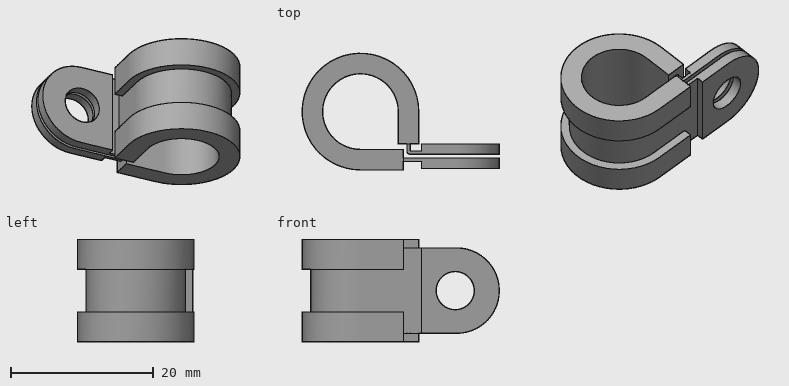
import cadquery as cq
import math

OVERALL_LENGTH = 27.7

CUSHION_RADIUS = 8.2
BORE_RADIUS = 5.3
CUSHION_WIDTH = 14.4
LOWER_LEG = 6.0
UPPER_LEG = 4.52

STRAP_RADIUS = 7.0
STRAP_THICKNESS = 0.5
STRAP_WIDTH = 12.02
BEND_RADIUS = 0.47
GROOVE_WIDTH = 5.98

TAB_START = 8.53
TAB_THICKNESS = 1.5
TAB_GAP = 0.5
TAB_RADIUS = STRAP_WIDTH / 2
TAB_END = OVERALL_LENGTH - CUSHION_RADIUS
TAB_ARC_CENTER = TAB_END - TAB_RADIUS
HOLE_CENTER = 13.3
HOLE_RADIUS = 2.65

STRAP_INNER = STRAP_RADIUS - STRAP_THICKNESS
LOWER_TAB_TOP = -STRAP_INNER
UPPER_TAB_BOTTOM = LOWER_TAB_TOP + TAB_GAP


def split_ring(inner, outer, width):
    """Three-quarter ring with a straight leg at each end, centred on Z = 0."""
    diagonal = math.sqrt(0.5)
    return (
        cq.Workplane("XY", origin=(0, 0, -width / 2))
        .moveTo(LOWER_LEG, -outer)
        .lineTo(0, -outer)
        .threePointArc((-outer * diagonal, outer * diagonal), (outer, 0))
        .lineTo(outer, -UPPER_LEG)
        .lineTo(inner, -UPPER_LEG)
        .lineTo(inner, 0)
        .threePointArc((-inner * diagonal, inner * diagonal), (0, -inner))
        .lineTo(LOWER_LEG, -inner)
        .close()
        .extrude(width)
    )


def block(x_min, x_max, y_min, y_max):
    """Block of the strap width, centred on Z = 0."""
    return (
        cq.Workplane("XY")
        .box(x_max - x_min, y_max - y_min, STRAP_WIDTH, centered=(False, False, True))
        .translate((x_min, y_min, 0))
    )


def tab(y_min):
    """Round-ended ear with a bolt hole along Y."""
    ear = block(TAB_START, TAB_ARC_CENTER, y_min, y_min + TAB_THICKNESS)
    plane = cq.Workplane("XZ", origin=(0, y_min, 0))
    end = plane.center(TAB_ARC_CENTER, 0).circle(TAB_RADIUS).extrude(-TAB_THICKNESS)
    end = end.intersect(block(TAB_ARC_CENTER, TAB_END, y_min, y_min + TAB_THICKNESS))
    plane = cq.Workplane("XZ", origin=(0, y_min, 0))
    hole = plane.center(HOLE_CENTER, 0).circle(HOLE_RADIUS).extrude(-TAB_THICKNESS)
    return ear.union(end).cut(hole)


def upper_strap():
    """Strap leaving the upper leg and bending outward to the upper tab."""
    strap_top = UPPER_TAB_BOTTOM + STRAP_THICKNESS
    upright = block(STRAP_INNER, STRAP_RADIUS, UPPER_TAB_BOTTOM, -UPPER_LEG)
    flat = block(STRAP_INNER, TAB_START, UPPER_TAB_BOTTOM, strap_top)
    bend = upright.union(flat)
    return bend.edges("<X and <Y").fillet(BEND_RADIUS)


cushion = split_ring(BORE_RADIUS, CUSHION_RADIUS, CUSHION_WIDTH)
groove = split_ring(STRAP_RADIUS, CUSHION_RADIUS, GROOVE_WIDTH)

lower_strap = block(LOWER_LEG, TAB_START, -STRAP_RADIUS, LOWER_TAB_TOP)

result = (
    cushion.cut(groove)
    .union(lower_strap)
    .union(upper_strap())
    .union(tab(LOWER_TAB_TOP - TAB_THICKNESS))
    .union(tab(UPPER_TAB_BOTTOM))
)